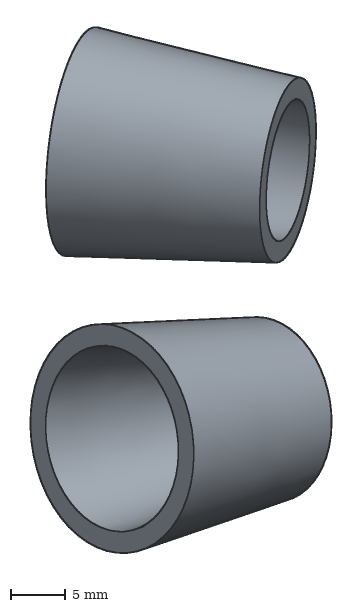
import cadquery as cq

length = 20.0
wide_diameter = 21.3
narrow_diameter = 17.2
wall = 2.0

wide_radius = wide_diameter / 2
narrow_radius = narrow_diameter / 2

wall_section = cq.Workplane("XZ").polyline([
    (0, wide_radius - wall),
    (0, wide_radius),
    (length, narrow_radius),
    (length, narrow_radius - wall),
]).close()

result = wall_section.revolve(360, (0, 0, 0), (1, 0, 0))